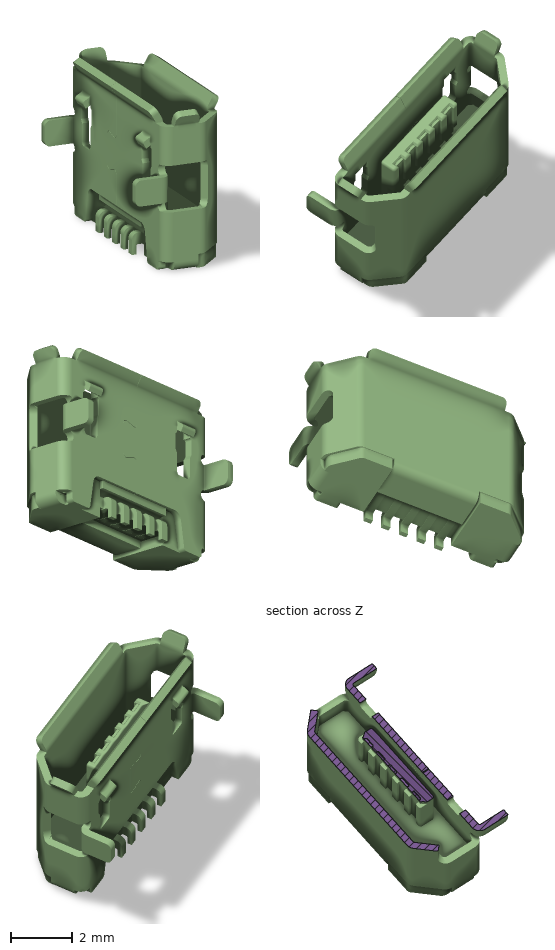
import cadquery as cq
import math


OVERALL_WIDTH = 7.8
OVERALL_DEPTH = 3.57
OVERALL_HEIGHT = 5.5
SIDES = (-1, 1)
THROUGH = 4.68

SHEET = 0.26
BEND_INSIDE = 0.09
BEND_OUTSIDE = BEND_INSIDE + SHEET

SHELL_TOP = 4.99
FLARE_ANGLE = 30.0
FLARE_SIN = math.sin(math.radians(FLARE_ANGLE))
FLARE_COS = math.cos(math.radians(FLARE_ANGLE))
FLARE_STRAIGHT = (OVERALL_HEIGHT - SHELL_TOP - BEND_OUTSIDE * FLARE_SIN) / FLARE_COS
FLARE_REACH = BEND_INSIDE * (1 - FLARE_COS) + FLARE_STRAIGHT * FLARE_SIN
FLARE_CORNER = 0.195
FRONT_LIP_WIDTH = 6.18
BACK_LIP_WIDTH = 5.01
SIDE_FLAP_WIDTH = 0.85
SIDE_FLAP_Y = 0.83

HALF_WIDTH = OVERALL_WIDTH / 2 - FLARE_REACH
SHELL_DEPTH = 2.37
SLANT_START_Y = 1.47
INNER_HALF_WIDTH = HALF_WIDTH - SHEET
INNER_BACK_Y = SHELL_DEPTH - SHEET
SLANT_SHIFT = SHEET * math.tan(math.radians(22.5))

WINDOW_BOTTOM = 2.06
WINDOW_TOP = 3.66
WINDOW_ON_SLANT = 0.33
WINDOW_CORNER = 0.235
TAB_BOTTOM = 2.41
TAB_TOP = 3.3
TAB_BEND_INSIDE = 0.05
TAB_CORNER = 0.195
TAB_REACH = OVERALL_DEPTH - SHELL_DEPTH - FLARE_REACH
RELIEF_CENTER_X = 3.45
RELIEF_RADIUS = (WINDOW_TOP - TAB_TOP) / 2

LATCH_X = 2.37
LATCH_WIDTH = 0.65
LATCH_BOTTOM = 2.56
LATCH_CORNER = 0.12
LATCH_WIDE_WIDTH = 0.81
LATCH_WIDE_TOP = 4.025
LATCH_WIDE_BOTTOM = 3.44
LATCH_WIDE_CORNER = 0.07
LATCH_TAPER_HEIGHT = 0.13
SPRING_TOP = 4.46
SPRING_ANGLE = 60.0
SPRING_STRAIGHT = 0.28
SPRING_TIP_RADIUS = 0.11

SEAM_GAP = 0.015
DOVETAIL_LENGTH = 0.695
DOVETAIL_Z = 3.01
DOVETAIL_TIP_HALF = 0.69
DOVETAIL_NECK_HALF = 0.49
DOVETAIL_CORNER = 0.14

CUTOUT_TOP = 1.26
CUTOUT_TOP_HALF = 2.2
CUTOUT_BOTTOM_HALF = 2.425
CUTOUT_CORNER = 0.31
LEG_OUTER_X = 3.31
LEG_CORNER = 0.125
CORNER_NOTCH_TOP = 0.35
CORNER_NOTCH_RADIUS = 0.06
FOOT_TOP = 0.515
SIDE_FOLD_FRONT = 0.405
SIDE_FOLD_BACK = 1.26
SIDE_FOLD_INSIDE = 0.055
SIDE_FOLD_STRAIGHT = 0.47
BACK_FOLD_WIDTH = 3.09
BACK_FOLD_BOTTOM = 0.1
BACK_FOLD_INSIDE = 0.02
BACK_FOLD_STRAIGHT = 0.935

BASE_TOP = 1.48
BASE_FRONT_CHAMFER = 0.13
CORNER_CLEARANCE = 0.04
BACK_CORNER_CUT = 0.235
FOOT_HALF_WIDTH = 3.55
FOOT_BACK_Y = 2.35
FOOT_SLANT_Y = 1.51
FOOT_SIDE_RADIUS = 0.33
FOOT_BACK_RADIUS = 0.19
PIN_BAY_HALF = 1.61
PIN_BAY_TOP = 0.36
FRONT_LIP_Y = 0.12
FRONT_LIP_BOTTOM = 1.0

TONGUE_HALF_WIDTH = 1.71
TONGUE_FRONT = 0.515
TONGUE_BACK = 1.11
TONGUE_TOP = 4.21
TONGUE_EDGE_RADIUS = 0.09
TONGUE_TOP_RADIUS = 0.085
RIB_DEPTH = 0.1
LATCH_NOTCH_BOTTOM = 2.63
LATCH_NOTCH_TOP = 3.0
LATCH_NOTCH_FLARE = 0.04
SIDE_POCKET_Y = 0.82
SIDE_POCKET_FLOOR_Y = 0.97
SIDE_POCKET_DEPTH = 0.12

PIN_COUNT = 5
PIN_PITCH = 0.65
PIN_WIDTH = 0.265
PIN_TOP = 0.74
PIN_FRONT_Y = -0.09
PIN_LEG_THICKNESS = 0.155
PIN_OUTER_RADIUS = 0.23
PIN_INNER_RADIUS = 0.06
PIN_BAR_BOTTOM = 0.34
BLADE_WIDTH = 0.36
BLADE_FRONT = 0.92
BLADE_BACK = TONGUE_BACK - RIB_DEPTH
BLADE_TOP = TONGUE_TOP - 0.08
SLOT_LEAD_IN = 0.06
SLOT_FLOOR_LEAD_IN = 0.05
PIN_XS = [(i - (PIN_COUNT - 1) / 2) * PIN_PITCH for i in range(PIN_COUNT)]


def block(x0, x1, y0, y1, z0, z1):
    """Box given by its limits along X, Y and Z."""
    return cq.Workplane("XY").box(x1 - x0, y1 - y0, z1 - z0, centered=False).translate((x0, y0, z0))


def mirrored_pair(body):
    """The body together with its mirror image across X = 0."""
    return body.union(body.mirror("YZ"))


def bent_strip(start, toward, along, width, angle, inside, straight, corner=0):
    """Strip of sheet that runs along `along` from `start` and bends through `angle` degrees.

    `start` is the middle of the strip's edge on the face that becomes the inside of the bend,
    and `toward` is the direction in which the strip bends.
    """
    turn = math.radians(angle)
    outside = inside + SHEET

    def on_bend(radius, sweep):
        return (inside - radius * math.cos(sweep), radius * math.sin(sweep))

    def past_bend(radius):
        u, v = on_bend(radius, turn)
        return (u + straight * math.sin(turn), v + straight * math.cos(turn))

    strip = (
        cq.Workplane("XY")
        .moveTo(0, 0)
        .threePointArc(on_bend(inside, turn / 2), on_bend(inside, turn))
        .lineTo(*past_bend(inside))
        .lineTo(*past_bend(outside))
        .lineTo(*on_bend(outside, turn))
        .threePointArc(on_bend(outside, turn / 2), (-SHEET, 0))
        .close()
        .extrude(width / 2, both=True)
    )
    if corner:
        tip = cq.Vector(math.sin(turn), math.cos(turn), 0)
        across = cq.Vector(math.cos(turn), -math.sin(turn), 0)
        strip = (
            strip.faces(cq.selectors.DirectionMinMaxSelector(tip))
            .edges(cq.selectors.ParallelDirSelector(across))
            .fillet(corner)
        )
    side = cq.Vector(*toward).cross(cq.Vector(*along))
    place = cq.Plane(origin=start, xDir=toward, normal=side.toTuple())
    return cq.Workplane(strip.val().moved(place.location))



def shell_tube():
    slant_run = SHELL_DEPTH - SLANT_START_Y
    outer_points = [
        (-HALF_WIDTH, 0),
        (HALF_WIDTH, 0),
        (HALF_WIDTH, SLANT_START_Y),
        (HALF_WIDTH - slant_run, SHELL_DEPTH),
        (-HALF_WIDTH + slant_run, SHELL_DEPTH),
        (-HALF_WIDTH, SLANT_START_Y),
    ]
    outer = cq.Workplane("XY").polyline(outer_points).close().extrude(SHELL_TOP)
    inner = cq.Workplane("XY").polyline(inner_outline()).close().extrude(SHELL_TOP)
    return outer.edges("|Z").fillet(BEND_OUTSIDE).cut(inner.edges("|Z").fillet(BEND_INSIDE))


def inner_outline():
    """Sharp-cornered outline of the space inside the shell."""
    slant_y = SLANT_START_Y - SLANT_SHIFT
    back_x = INNER_HALF_WIDTH - (INNER_BACK_Y - slant_y)
    return [
        (-INNER_HALF_WIDTH, SHEET),
        (INNER_HALF_WIDTH, SHEET),
        (INNER_HALF_WIDTH, slant_y),
        (back_x, INNER_BACK_Y),
        (-back_x, INNER_BACK_Y),
        (-INNER_HALF_WIDTH, slant_y),
    ]


def front_cutout():
    """Opening in the front wall above the pins."""
    return (
        cq.Workplane("XZ")
        .polyline([
            (-CUTOUT_BOTTOM_HALF, 0),
            (-CUTOUT_TOP_HALF, CUTOUT_TOP),
            (CUTOUT_TOP_HALF, CUTOUT_TOP),
            (CUTOUT_BOTTOM_HALF, 0),
        ])
        .close()
        .extrude(-SHEET)
        .edges("|Y and >Z")
        .fillet(CUTOUT_CORNER)
    )


def trim_lower_edge(shell):
    """Cut the shell away around the housing foot and round the two front legs."""
    shell = shell.cut(front_cutout())
    back_half = BACK_FOLD_WIDTH / 2
    back_fold_start = BACK_FOLD_BOTTOM + SHEET + BACK_FOLD_INSIDE
    corner_notch = block(-HALF_WIDTH, -LEG_OUTER_X, 0, SIDE_FOLD_FRONT, 0, CORNER_NOTCH_TOP)
    for side_cut in (
        corner_notch.edges("|Y and >X and >Z").fillet(CORNER_NOTCH_RADIUS),
        block(-HALF_WIDTH, -LEG_OUTER_X, SIDE_FOLD_FRONT, SIDE_FOLD_BACK, 0, SIDE_FOLD_INSIDE + SHEET),
        block(-HALF_WIDTH, -back_half, SIDE_FOLD_BACK, SHELL_DEPTH, 0, FOOT_TOP),
    ):
        shell = shell.cut(mirrored_pair(side_cut))
    shell = shell.cut(block(-back_half, back_half, SIDE_FOLD_BACK, SHELL_DEPTH, 0, back_fold_start))
    return shell.faces("<Z").edges("|Y").fillet(LEG_CORNER)


def side_window():
    """Window in the -X wall, running round the bend onto the slant."""
    height = WINDOW_TOP - WINDOW_BOTTOM
    in_side = block(-HALF_WIDTH, -RELIEF_CENTER_X, 0, SLANT_START_Y, WINDOW_BOTTOM, WINDOW_TOP)
    slant_origin = (-HALF_WIDTH, SLANT_START_Y, WINDOW_BOTTOM)
    slant_plane = cq.Plane(origin=slant_origin, xDir=(1, 1, 0), normal=(1, -1, 0))
    in_slant = (
        cq.Workplane("XY")
        .box(2 * WINDOW_ON_SLANT, height, 2 * BEND_OUTSIDE)
        .edges(">X and |Z")
        .fillet(WINDOW_CORNER)
    )
    in_slant = in_slant.translate((0, height / 2, 0))
    corner_x = HALF_WIDTH - BEND_OUTSIDE
    behind_front = block(-HALF_WIDTH, -corner_x, SHEET, SLANT_START_Y, WINDOW_BOTTOM, WINDOW_TOP)
    window = in_side.union(behind_front).union(cq.Workplane(in_slant.val().moved(slant_plane.location)))
    for z in (WINDOW_TOP - RELIEF_RADIUS, WINDOW_BOTTOM + RELIEF_RADIUS):
        relief = cq.Workplane("XZ").center(-RELIEF_CENTER_X, z).circle(RELIEF_RADIUS).extrude(-BEND_OUTSIDE)
        window = window.union(relief)
    return window.union(block(-HALF_WIDTH, -corner_x, 0, SLANT_START_Y, TAB_BOTTOM, TAB_TOP))


def mounting_tab():
    """Solder tab bent forward out of the front wall beside the -X window."""
    bend_x = HALF_WIDTH - SHEET - TAB_BEND_INSIDE
    tab = bent_strip(
        (-bend_x, 0, (TAB_BOTTOM + TAB_TOP) / 2), (0, -1, 0), (-1, 0, 0), TAB_TOP - TAB_BOTTOM,
        90, TAB_BEND_INSIDE, TAB_REACH - TAB_BEND_INSIDE, TAB_CORNER,
    )
    return tab.union(block(-bend_x, -LEG_OUTER_X, 0, SHEET, TAB_BOTTOM, TAB_TOP))


def latch_hole():
    hole = block(-LATCH_WIDTH / 2, LATCH_WIDTH / 2, 0, SHEET, LATCH_BOTTOM, SPRING_TOP)
    hole = hole.edges("|Y and <Z").fillet(LATCH_CORNER)
    wide = (
        cq.Workplane("XZ")
        .polyline([
            (-LATCH_WIDTH / 2, LATCH_WIDE_BOTTOM - LATCH_TAPER_HEIGHT),
            (-LATCH_WIDE_WIDTH / 2, LATCH_WIDE_BOTTOM),
            (-LATCH_WIDE_WIDTH / 2, LATCH_WIDE_TOP),
            (LATCH_WIDE_WIDTH / 2, LATCH_WIDE_TOP),
            (LATCH_WIDE_WIDTH / 2, LATCH_WIDE_BOTTOM),
            (LATCH_WIDTH / 2, LATCH_WIDE_BOTTOM - LATCH_TAPER_HEIGHT),
        ])
        .close()
        .extrude(-SHEET)
        .edges("|Y and >Z")
        .fillet(LATCH_WIDE_CORNER)
    )
    return hole.union(wide)


def spring_tab():
    """Tab bent outward from the top of a latch hole, with a rounded upper tip."""
    tab = bent_strip(
        (0, 0, SPRING_TOP), (0, -1, 0), (0, 0, -1), LATCH_WIDTH,
        SPRING_ANGLE, BEND_INSIDE, SPRING_STRAIGHT,
    )
    return tab.edges("|X").edges("<Y").fillet(SPRING_TIP_RADIUS)


def seam():
    """Thin dovetail slit that parts the front wall from top to bottom."""
    slit_depth = 2 * SHEET + FLARE_REACH
    right_side = (
        cq.Workplane("XZ", origin=(0, SHEET + 0.08, 0))
        .polyline([
            (THROUGH, -THROUGH),
            (0, -THROUGH),
            (0, DOVETAIL_Z - DOVETAIL_NECK_HALF),
            (-DOVETAIL_LENGTH, DOVETAIL_Z - DOVETAIL_TIP_HALF),
            (-DOVETAIL_LENGTH, DOVETAIL_Z + DOVETAIL_TIP_HALF),
            (0, DOVETAIL_Z + DOVETAIL_NECK_HALF),
            (0, 2 * THROUGH),
            (THROUGH, 2 * THROUGH),
        ])
        .close()
        .extrude(slit_depth)
    )
    tip = cq.selectors.BoxSelector(
        (-DOVETAIL_LENGTH - 0.08, -THROUGH, 0), (0.08, THROUGH, SHELL_TOP),
    )
    right_side = right_side.edges("|Y").edges(tip).fillet(DOVETAIL_CORNER)
    widened = right_side.faces("<Y").wires().toPending().offset2D(SEAM_GAP).extrude(-slit_depth)
    return widened.cut(right_side)


def mouth_lips():
    lips = [
        ((0, 0, SHELL_TOP), (0, -1, 0), FRONT_LIP_WIDTH),
        ((0, SHELL_DEPTH, SHELL_TOP), (0, 1, 0), BACK_LIP_WIDTH),
        ((-HALF_WIDTH, SIDE_FLAP_Y, SHELL_TOP), (-1, 0, 0), SIDE_FLAP_WIDTH),
        ((HALF_WIDTH, SIDE_FLAP_Y, SHELL_TOP), (1, 0, 0), SIDE_FLAP_WIDTH),
    ]
    return [
        bent_strip(start, outward, (0, 0, 1), width, FLARE_ANGLE, BEND_INSIDE, FLARE_STRAIGHT, FLARE_CORNER)
        for start, outward, width in lips
    ]


def bottom_folds():
    """Strips of the side and back walls folded inward under the housing."""
    down = (0, 0, -1)
    side_z = SHEET + SIDE_FOLD_INSIDE
    side_y = (SIDE_FOLD_FRONT + SIDE_FOLD_BACK) / 2
    side_width = SIDE_FOLD_BACK - SIDE_FOLD_FRONT
    folds = [
        bent_strip(
            (side * INNER_HALF_WIDTH, side_y, side_z), (-side, 0, 0), down, side_width,
            90, SIDE_FOLD_INSIDE, SIDE_FOLD_STRAIGHT,
        )
        for side in SIDES
    ]
    back_z = BACK_FOLD_BOTTOM + SHEET + BACK_FOLD_INSIDE
    folds.append(bent_strip(
        (0, INNER_BACK_Y, back_z), (0, -1, 0), down, BACK_FOLD_WIDTH,
        90, BACK_FOLD_INSIDE, BACK_FOLD_STRAIGHT,
    ))
    return folds


def build_shell():
    shell = trim_lower_edge(shell_tube())
    shell = shell.cut(mirrored_pair(side_window()))
    for side in SIDES:
        shell = shell.cut(latch_hole().translate((side * LATCH_X, 0, 0)))
        shell = shell.union(spring_tab().translate((side * LATCH_X, 0, 0)))
    shell = shell.union(mounting_tab()).union(mounting_tab().mirror("YZ"))
    for strip in mouth_lips() + bottom_folds():
        shell = shell.union(strip)
    return shell.cut(seam())



def build_pin(x):
    """Contact with a leg in front, a bar through the housing and a blade up the tongue."""
    leg_back = PIN_FRONT_Y + PIN_LEG_THICKNESS
    lower = (
        cq.Workplane("YZ", origin=(x, 0, 0))
        .moveTo(PIN_FRONT_Y, 0)
        .lineTo(PIN_FRONT_Y, PIN_TOP - PIN_OUTER_RADIUS)
        .radiusArc((PIN_FRONT_Y + PIN_OUTER_RADIUS, PIN_TOP), PIN_OUTER_RADIUS)
        .lineTo(BLADE_BACK, PIN_TOP)
        .lineTo(BLADE_BACK, PIN_BAR_BOTTOM)
        .lineTo(leg_back + PIN_INNER_RADIUS, PIN_BAR_BOTTOM)
        .radiusArc((leg_back, PIN_BAR_BOTTOM - PIN_INNER_RADIUS), -PIN_INNER_RADIUS)
        .lineTo(leg_back, 0)
        .close()
        .extrude(PIN_WIDTH / 2, both=True)
    )
    half_blade = BLADE_WIDTH / 2
    blade = block(x - half_blade, x + half_blade, BLADE_FRONT, BLADE_BACK, PIN_BAR_BOTTOM, BLADE_TOP)
    return lower.union(blade)



def housing_base():
    """Plug that fills the bottom of the shell, with its corners cut clear of the bends."""
    base = cq.Workplane("XY").polyline(inner_outline()).close().extrude(BASE_TOP)
    base = base.edges("|Z and <Y").chamfer(BASE_FRONT_CHAMFER)
    side_corners = cq.selectors.BoxSelector(
        (-THROUGH, SHEET + BASE_FRONT_CHAMFER + 0.08, 0), (THROUGH, INNER_BACK_Y - 0.08, BASE_TOP),
    )
    base = base.edges("|Z").edges(side_corners).chamfer(CORNER_CLEARANCE)
    corner_x, corner_y = inner_outline()[3]
    sliver = (
        cq.Workplane("XY")
        .polyline([
            (-corner_x + CORNER_CLEARANCE, corner_y),
            (-corner_x, corner_y),
            (-corner_x - BACK_CORNER_CUT, corner_y - BACK_CORNER_CUT),
        ])
        .close()
        .extrude(BASE_TOP)
    )
    return base.cut(mirrored_pair(sliver))


def housing_foot():
    """Wider foot that closes the trimmed back of the shell from below."""
    slant_run = FOOT_BACK_Y - FOOT_SLANT_Y
    foot = (
        cq.Workplane("XY")
        .polyline([
            (-FOOT_HALF_WIDTH, SIDE_FOLD_BACK),
            (FOOT_HALF_WIDTH, SIDE_FOLD_BACK),
            (FOOT_HALF_WIDTH, FOOT_SLANT_Y),
            (FOOT_HALF_WIDTH - slant_run, FOOT_BACK_Y),
            (-FOOT_HALF_WIDTH + slant_run, FOOT_BACK_Y),
            (-FOOT_HALF_WIDTH, FOOT_SLANT_Y),
        ])
        .close()
        .extrude(FOOT_TOP)
    )
    foot = foot.edges("|Z and >Y").fillet(FOOT_BACK_RADIUS)
    slant_corners = cq.selectors.BoxSelector(
        (-THROUGH, FOOT_SLANT_Y - 0.08, 0), (THROUGH, FOOT_SLANT_Y + 0.08, FOOT_TOP),
    )
    return foot.edges("|Z").edges(slant_corners).fillet(FOOT_SIDE_RADIUS)


def front_lip():
    """Lip over the pins; it fills the top of the shell's cutout."""
    return block(-PIN_BAY_HALF, PIN_BAY_HALF, FRONT_LIP_Y, SHEET, FRONT_LIP_BOTTOM, CUTOUT_TOP)


def lip_groove():
    """Half-round groove under the lip, down to the top of the pins."""
    radius = (FRONT_LIP_BOTTOM - PIN_TOP) / 2
    return (
        cq.Workplane("YZ")
        .center(SHEET, PIN_TOP + radius)
        .circle(radius)
        .extrude(PIN_BAY_HALF, both=True)
    )


def tongue():
    body = block(-TONGUE_HALF_WIDTH, TONGUE_HALF_WIDTH, TONGUE_FRONT, TONGUE_BACK, BASE_TOP, TONGUE_TOP)
    body = body.edges("|Z").fillet(TONGUE_EDGE_RADIUS)
    body = body.faces(">Z").edges().fillet(TONGUE_TOP_RADIUS)
    rib_front = TONGUE_BACK - RIB_DEPTH
    notch = (
        cq.Workplane("YZ")
        .polyline([
            (rib_front, LATCH_NOTCH_BOTTOM),
            (TONGUE_BACK, LATCH_NOTCH_BOTTOM - LATCH_NOTCH_FLARE),
            (TONGUE_BACK, LATCH_NOTCH_TOP + LATCH_NOTCH_FLARE),
            (rib_front, LATCH_NOTCH_TOP),
        ])
        .close()
        .extrude(THROUGH, both=True)
    )
    pocket = (
        cq.Workplane("XY", origin=(0, 0, LATCH_NOTCH_BOTTOM))
        .polyline([
            (-TONGUE_HALF_WIDTH, SIDE_POCKET_Y),
            (-TONGUE_HALF_WIDTH, rib_front),
            (-TONGUE_HALF_WIDTH + SIDE_POCKET_DEPTH, rib_front),
            (-TONGUE_HALF_WIDTH + SIDE_POCKET_DEPTH, SIDE_POCKET_FLOOR_Y),
        ])
        .close()
        .extrude(LATCH_NOTCH_TOP - LATCH_NOTCH_BOTTOM)
    )
    return body.cut(notch).cut(mirrored_pair(pocket))


def blade_slot(x):
    """Open slot in the back of the tongue for one blade, widened at its upper end."""
    half = BLADE_WIDTH / 2
    slot = block(x - half, x + half, BLADE_FRONT, TONGUE_BACK, BASE_TOP, TONGUE_TOP)
    lead_in = (
        cq.Workplane("XY", origin=(x, 0, TONGUE_TOP - SLOT_LEAD_IN))
        .center(0, (BLADE_FRONT + TONGUE_BACK) / 2)
        .rect(BLADE_WIDTH, TONGUE_BACK - BLADE_FRONT)
        .workplane(offset=SLOT_LEAD_IN)
        .center(0, -SLOT_FLOOR_LEAD_IN / 2)
        .rect(BLADE_WIDTH + 2 * SLOT_LEAD_IN, TONGUE_BACK - BLADE_FRONT + SLOT_FLOOR_LEAD_IN)
        .loft()
    )
    return slot.union(lead_in)


def housing_clearances():
    """Spaces left in the housing for the folded sheet and the pin legs."""
    fold_x = INNER_HALF_WIDTH - SIDE_FOLD_INSIDE - SIDE_FOLD_STRAIGHT
    side_fold = block(-THROUGH, -fold_x, SIDE_FOLD_FRONT, SIDE_FOLD_BACK, 0, SHEET)
    fold_bend = block(
        -THROUGH, -INNER_HALF_WIDTH + SIDE_FOLD_INSIDE, SIDE_FOLD_FRONT, SIDE_FOLD_BACK,
        0, SHEET + SIDE_FOLD_INSIDE,
    )
    back_bend_top = BACK_FOLD_BOTTOM + SHEET + BACK_FOLD_INSIDE
    corner = block(-THROUGH, -LEG_OUTER_X + LEG_CORNER, SHEET, SIDE_FOLD_FRONT, 0, CORNER_NOTCH_TOP)
    return [
        mirrored_pair(side_fold),
        mirrored_pair(fold_bend),
        mirrored_pair(corner),
        block(-PIN_BAY_HALF, PIN_BAY_HALF, SHEET, FOOT_BACK_Y, 0, PIN_BAY_TOP),
        block(-PIN_BAY_HALF, PIN_BAY_HALF, INNER_BACK_Y - BACK_FOLD_INSIDE, FOOT_BACK_Y, 0, back_bend_top),
        block(-PIN_BAY_HALF, PIN_BAY_HALF, INNER_BACK_Y, FOOT_BACK_Y, 0, FOOT_TOP),
    ]


def build_housing(pins):
    body = housing_base().union(housing_foot()).union(front_lip()).union(tongue())
    body = body.cut(lip_groove())
    for space in housing_clearances():
        body = body.cut(space)
    for x in PIN_XS:
        body = body.cut(blade_slot(x))
    for pin in pins:
        body = body.cut(pin)
    return body


shell = build_shell()
pins = [build_pin(x) for x in PIN_XS]
housing = build_housing(pins)

result = cq.Compound.makeCompound([shell.val(), housing.val(), *[pin.val() for pin in pins]])